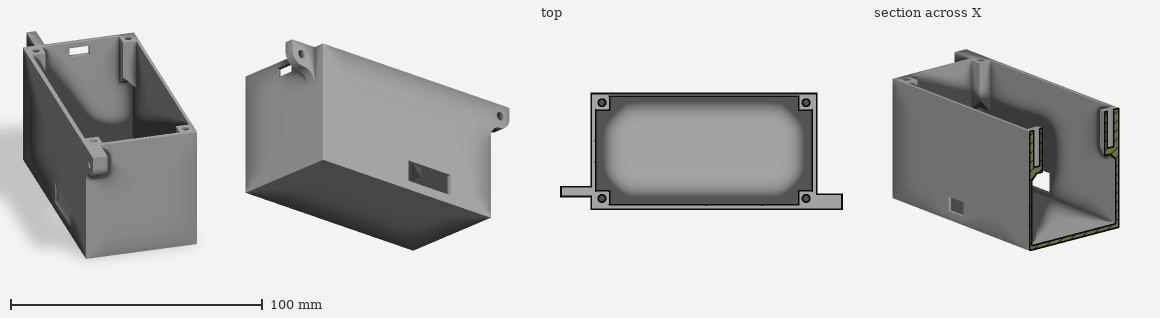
import cadquery as cq

BOX_X = 89.6
BOX_Y = 46.0
BOX_Z = 50.0
END_WALL = 1.8
FRONT_WALL = 1.7
BACK_WALL = 1.2
FLOOR = 2.0

POST_SIZE = 6.0
POST_DEPTH = 15.5
SCREW_DIAMETER = 2.9
SCREW_DEPTH = POST_DEPTH
SCREW_INSET_X = 4.3
SCREW_INSET_FRONT = 4.3
SCREW_INSET_BACK = 3.7

LEFT_EAR_RADIUS = 6.0
LEFT_EAR_Y = 5.0
LEFT_EAR_THICKNESS = 4.0
RIGHT_EAR_RADIUS = 5.0
RIGHT_EAR_Y = 0.0
RIGHT_EAR_THICKNESS = 6.0
EAR_HEIGHT = 10.0
EAR_HOLE_DIAMETER = 3.5
EAR_HOLE_DROP = 5.0
EAR_HOLE_INSET = 5.0

WINDOW_X = 45.6
WINDOW_SILL = 3.7
FRONT_WINDOW_WIDTH = 22.4
FRONT_WINDOW_HEIGHT = 8.7
BACK_WINDOW_WIDTH = 9.1
BACK_WINDOW_HEIGHT = 6.0

SLOT_WIDTH = 8.3
SLOT_HEIGHT = 4.0
SLOT_TOP_GAP = 2.3


def block(x, y, z, dx, dy, dz):
    """Box with its lowest corner at (x, y, z)."""
    return cq.Workplane("XY").box(dx, dy, dz, centered=False).translate((x, y, z))


def make_shell():
    outer = block(0, 0, 0, BOX_X, BOX_Y, BOX_Z)
    cavity = block(
        END_WALL, FRONT_WALL, FLOOR,
        BOX_X - 2 * END_WALL, BOX_Y - FRONT_WALL - BACK_WALL, BOX_Z - FLOOR,
    )
    return outer.cut(cavity)


def make_tapered_prism(plane, centre, to_wall):
    """Square prism whose underside drops at 45 degrees from its free side to its wall side.

    It is drawn on the given vertical plane around the horizontal position centre;
    to_wall (+1 or -1) points to the wall along the horizontal axis of that plane.
    """
    half = POST_SIZE / 2
    free_side = centre - to_wall * half
    wall_side = centre + to_wall * half
    free_bottom = BOX_Z - POST_DEPTH
    outline = [
        (free_side, BOX_Z),
        (wall_side, BOX_Z),
        (wall_side, free_bottom - POST_SIZE),
        (free_side, free_bottom),
    ]
    return cq.Workplane(plane).polyline(outline).close().extrude(half, both=True)


def make_post(x, y, to_wall_x, to_wall_y):
    """Post around a screw at (x, y), tapering underneath into both walls of its corner."""
    into_end_wall = make_tapered_prism("XZ", x, to_wall_x).translate((0, y, 0))
    into_side_wall = make_tapered_prism("YZ", y, to_wall_y).translate((x, 0, 0))
    return into_end_wall.union(into_side_wall)


def make_ear(wall_x, outward, radius, y, thickness):
    """Ear on the wall at wall_x, reaching two radii outward (+1 or -1 along X)."""
    tip_x = wall_x + outward * 2 * radius
    middle_x = wall_x + outward * radius
    ear_bottom = BOX_Z - EAR_HEIGHT
    profile = (
        cq.Workplane("XZ", origin=(0, y, 0))
        .moveTo(wall_x, BOX_Z)
        .lineTo(tip_x, BOX_Z)
        .lineTo(tip_x, ear_bottom + radius)
        .tangentArcPoint((middle_x, ear_bottom), relative=False)
        .tangentArcPoint((wall_x, ear_bottom - radius), relative=False)
        .close()
    )
    hole = (
        cq.Workplane("XZ", origin=(0, y, 0))
        .center(tip_x - outward * EAR_HOLE_INSET, BOX_Z - EAR_HOLE_DROP)
        .circle(EAR_HOLE_DIAMETER / 2)
        .extrude(-thickness)
    )
    return profile.extrude(-thickness).cut(hole)


def make_openings():
    front = block(WINDOW_X, 0, WINDOW_SILL, FRONT_WINDOW_WIDTH, FRONT_WALL, FRONT_WINDOW_HEIGHT)
    back = block(
        WINDOW_X, BOX_Y - BACK_WALL, WINDOW_SILL,
        BACK_WINDOW_WIDTH, BACK_WALL, BACK_WINDOW_HEIGHT,
    )
    slot = block(
        0, (BOX_Y - SLOT_WIDTH) / 2, BOX_Z - SLOT_TOP_GAP - SLOT_HEIGHT,
        END_WALL, SLOT_WIDTH, SLOT_HEIGHT,
    )
    return front.union(back).union(slot)


def make_screw_hole(x, y):
    return (
        cq.Workplane("XY", origin=(x, y, BOX_Z))
        .circle(SCREW_DIAMETER / 2)
        .extrude(-SCREW_DEPTH)
    )


result = make_shell()

for screw_x, side_x in ((SCREW_INSET_X, -1), (BOX_X - SCREW_INSET_X, 1)):
    for screw_y, side_y in ((SCREW_INSET_FRONT, -1), (BOX_Y - SCREW_INSET_BACK, 1)):
        post = make_post(screw_x, screw_y, side_x, side_y)
        result = result.union(post).cut(make_screw_hole(screw_x, screw_y))

result = result.union(make_ear(0, -1, LEFT_EAR_RADIUS, LEFT_EAR_Y, LEFT_EAR_THICKNESS))
result = result.union(make_ear(BOX_X, 1, RIGHT_EAR_RADIUS, RIGHT_EAR_Y, RIGHT_EAR_THICKNESS))
result = result.cut(make_openings())